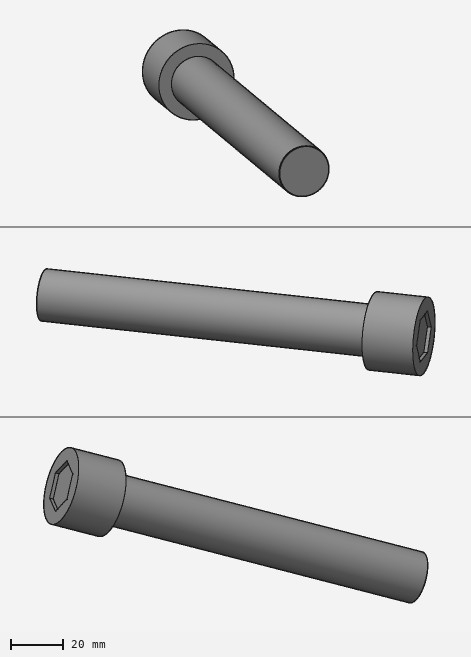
import cadquery as cq
import math

HEAD_DIAMETER = 30.0
HEAD_HEIGHT = 20.0
SHANK_DIAMETER = 20.0
OVERALL_LENGTH = 150.0
SHANK_LENGTH = OVERALL_LENGTH - HEAD_HEIGHT
TIP_CHAMFER = 0.25

HEX_SIDES = 6
SOCKET_ACROSS_FLATS = 17.0
SOCKET_ACROSS_CORNERS = SOCKET_ACROSS_FLATS / math.cos(math.pi / HEX_SIDES)
SOCKET_DEPTH = 1.5


def make_head():
    """Cylindrical head, extending from X = 0 towards -X."""
    return cq.Workplane("YZ").circle(HEAD_DIAMETER / 2).extrude(-HEAD_HEIGHT)


def make_shank():
    """Plain cylindrical shank with a small chamfer at its free end."""
    shank = cq.Workplane("YZ").circle(SHANK_DIAMETER / 2).extrude(SHANK_LENGTH)
    return shank.faces(">X").edges().chamfer(TIP_CHAMFER)


def make_socket():
    """Shallow hexagonal recess in the head face, with two opposite corners lying on the Y direction."""
    return (
        cq.Workplane("YZ", origin=(-HEAD_HEIGHT, 0, 0))
        .polygon(HEX_SIDES, SOCKET_ACROSS_CORNERS)
        .extrude(SOCKET_DEPTH)
    )


result = make_head().union(make_shank()).cut(make_socket())